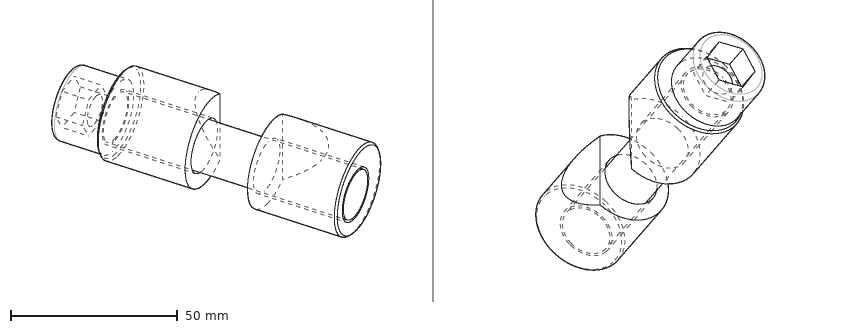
import cadquery as cq
import math

total_length = 97.0
sleeve_diameter = 30.0
sleeve_length = 30.0
sleeve_chamfer = 0.7
screw_offset = -2.3

head_diameter = 24.0
head_length = 16.0
head_fillet = 1.6
shank_diameter = 16.0
socket_width = 14.0
socket_depth = 9.0
drill_diameter = 10.0
drill_tip_angle = 120.0

bore_diameter = 17.5
wedge_length = 12.0
wedge_angle = 30.0

near_sleeve_start = head_length
near_sleeve_end = near_sleeve_start + sleeve_length
far_sleeve_start = total_length - sleeve_length
wedge_depth = wedge_length * math.tan(math.radians(wedge_angle))
sleeve_radius = sleeve_diameter / 2


def rod(start, length, diameter, offset=0.0):
    """Cylinder along +X whose axis is shifted by offset in Y."""
    plane = cq.Workplane("YZ", origin=(start, offset, 0))
    return plane.circle(diameter / 2).extrude(length)


def make_screw():
    """Socket head screw reaching the outer end of the far sleeve."""
    head = rod(0, head_length, head_diameter, screw_offset)
    head = head.faces("<X").edges().fillet(head_fillet)
    shank = rod(head_length, total_length - head_length, shank_diameter, screw_offset)

    across_corners = socket_width / math.cos(math.radians(30))
    face = cq.Workplane("YZ", origin=(0, screw_offset, 0))
    socket = face.polygon(6, across_corners).extrude(socket_depth)

    drill_radius = drill_diameter / 2
    tip_depth = drill_radius / math.tan(math.radians(drill_tip_angle / 2))
    tip = cq.Workplane(cq.Solid.makeCone(
        drill_radius, 0, tip_depth,
        cq.Vector(socket_depth, screw_offset, 0), cq.Vector(1, 0, 0),
    ))
    return head.union(shank).cut(socket).cut(tip)


def make_sleeve(start, outer_side, inner_x, outward):
    """Sleeve with a chamfered outer end and a flat wedge cut on +Y at its inner end.

    outward is the X direction from the inner end to the outer end.
    """
    sleeve = rod(start, sleeve_length, sleeve_diameter)
    sleeve = sleeve.faces(outer_side).edges().chamfer(sleeve_chamfer)
    bore = rod(start, sleeve_length, bore_diameter, screw_offset)
    wedge = (
        cq.Workplane("XY", origin=(0, 0, -sleeve_radius))
        .moveTo(inner_x, sleeve_radius)
        .lineTo(inner_x + outward * wedge_length, sleeve_radius)
        .lineTo(inner_x, sleeve_radius - wedge_depth)
        .close()
        .extrude(sleeve_diameter)
    )
    return sleeve.cut(bore).cut(wedge)


screw = make_screw()
near_sleeve = make_sleeve(near_sleeve_start, "<X", near_sleeve_end, -1)
far_sleeve = make_sleeve(far_sleeve_start, ">X", far_sleeve_start, 1)

result = cq.Compound.makeCompound([screw.val(), near_sleeve.val(), far_sleeve.val()])